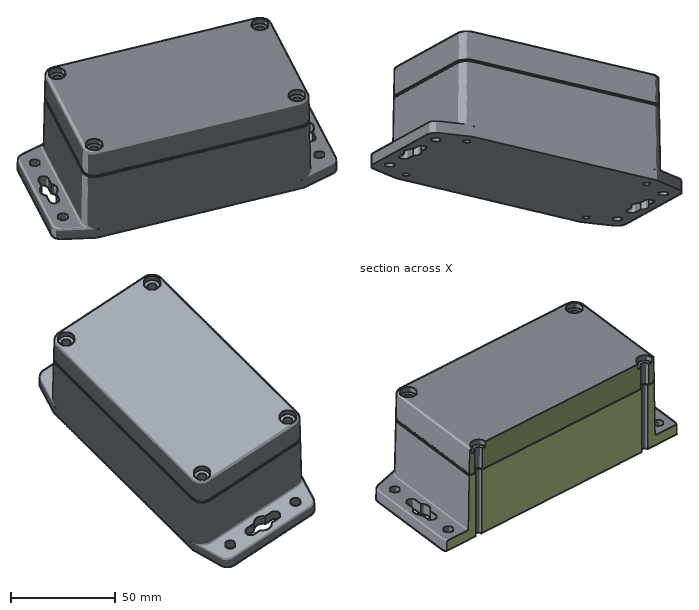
import cadquery as cq
import math

TOTAL_LENGTH = 145.0
BODY_WIDTH = 66.4
BODY_LENGTH = 116.6
TOTAL_HEIGHT = 55.0
CORNER_RADIUS = 6.7
DRAFT_ANGLE = 1.0
DRAFT = math.tan(math.radians(DRAFT_ANGLE))

PARTING_HEIGHT = 39.0
GROOVE_HEIGHT = 0.9
GROOVE_DEPTH = 0.6
LID_EDGE_RADIUS = 1.5

SCREW_X = BODY_WIDTH / 2 - CORNER_RADIUS
SCREW_Y = BODY_LENGTH / 2 - CORNER_RADIUS
SCREW_CLEARANCE_DIAMETER = 4.5
SCREW_PILOT_DIAMETER = 3.5
SCREW_HEAD_DIAMETER = 8.1
SCREW_HEAD_DEPTH = 3.2

FLANGE_HEIGHT = 6.4
FLANGE_END_WIDTH = 55.1
FLANGE_HIP_Y = 52.8
FLANGE_CORNER_RADIUS = 5.0
FLANGE_HIP_RADIUS = 3.3
FLANGE_EDGE_RADIUS = 1.0
FLANGE_ROOT_RADIUS = 0.9

MOUNT_Y = 65.2
MOUNT_HOLE_X = 20.2
MOUNT_HOLE_DIAMETER = 5.0
KEYHOLE_LENGTH = 20.0
KEYHOLE_CENTRE_DIAMETER = 8.5


def drafted_block(bottom, top, inset=0.0):
    """Slice of the drafted enclosure from height bottom to top, set in by inset all round."""
    shrink = inset + bottom * DRAFT
    outline = cq.Sketch().rect(BODY_WIDTH - 2 * shrink, BODY_LENGTH - 2 * shrink)
    outline = outline.vertices().fillet(CORNER_RADIUS - shrink)
    block = cq.Workplane("XY").workplane(offset=bottom).placeSketch(outline)
    return block.extrude(top - bottom, taper=DRAFT_ANGLE)


def screw_holes(diameter, bottom, top):
    """Four cylinders on the screw axes."""
    holes = cq.Workplane("XY").workplane(offset=bottom)
    holes = holes.rect(2 * SCREW_X, 2 * SCREW_Y, forConstruction=True).vertices()
    return holes.circle(diameter / 2).extrude(top - bottom)


def end_zones(inner_y, outer_y):
    """Selector for edges centred between two distances from the middle, at both ends of the body."""
    front = cq.selectors.BoxSelector((-BODY_WIDTH, -outer_y, 0), (BODY_WIDTH, -inner_y, TOTAL_HEIGHT))
    back = cq.selectors.BoxSelector((-BODY_WIDTH, inner_y, 0), (BODY_WIDTH, outer_y, TOTAL_HEIGHT))
    return front + back


def flange_plate():
    """Drafted plate that runs under the whole body and forms both flanges."""
    hip_x = BODY_WIDTH / 2
    end_x = FLANGE_END_WIDTH / 2
    end_y = TOTAL_LENGTH / 2
    corners = [
        (hip_x, -FLANGE_HIP_Y),
        (hip_x, FLANGE_HIP_Y),
        (end_x, end_y),
        (-end_x, end_y),
        (-hip_x, FLANGE_HIP_Y),
        (-hip_x, -FLANGE_HIP_Y),
        (-end_x, -end_y),
        (end_x, -end_y),
    ]
    plate = cq.Workplane("XY").polyline(corners).close().extrude(FLANGE_HEIGHT, taper=DRAFT_ANGLE)
    plate = plate.edges(end_zones(0, MOUNT_Y)).edges("not #Z").fillet(FLANGE_HIP_RADIUS)
    plate = plate.edges(end_zones(MOUNT_Y, end_y)).edges("not #Z").fillet(FLANGE_CORNER_RADIUS)
    return plate.faces(">Z").edges().fillet(FLANGE_EDGE_RADIUS)


def mounting_holes():
    """Two round holes and a double-ended keyhole through each flange."""
    rows = [(0, -MOUNT_Y), (0, MOUNT_Y)]
    plane = cq.Workplane("XY")
    holes = plane.rect(2 * MOUNT_HOLE_X, 2 * MOUNT_Y, forConstruction=True).vertices()
    holes = holes.circle(MOUNT_HOLE_DIAMETER / 2).extrude(FLANGE_HEIGHT)
    slots = plane.pushPoints(rows).slot2D(KEYHOLE_LENGTH, MOUNT_HOLE_DIAMETER).extrude(FLANGE_HEIGHT)
    centres = plane.pushPoints(rows).circle(KEYHOLE_CENTRE_DIAMETER / 2).extrude(FLANGE_HEIGHT)
    return holes.union(slots).union(centres)


def make_base():
    """Lower body with its flanges, mounting holes and screw pilot holes."""
    base = drafted_block(0, PARTING_HEIGHT).union(flange_plate())
    wall_y = BODY_LENGTH / 2 - FLANGE_HEIGHT * DRAFT
    for end in (-1, 1):
        root = base.edges(cq.NearestToPointSelector((0, end * wall_y, FLANGE_HEIGHT)))
        base = root.fillet(FLANGE_ROOT_RADIUS)
    base = base.cut(mounting_holes())
    return base.cut(screw_holes(SCREW_PILOT_DIAMETER, 0, PARTING_HEIGHT))


def make_lid():
    """Cover whose lower rim is set back to leave the shadow groove above the base."""
    rim_top = PARTING_HEIGHT + GROOVE_HEIGHT
    cover = drafted_block(rim_top, TOTAL_HEIGHT).faces(">Z").edges().fillet(LID_EDGE_RADIUS)
    lid = cover.union(drafted_block(PARTING_HEIGHT, rim_top, GROOVE_DEPTH))
    lid = lid.cut(screw_holes(SCREW_CLEARANCE_DIAMETER, PARTING_HEIGHT, TOTAL_HEIGHT))
    return lid.cut(screw_holes(SCREW_HEAD_DIAMETER, TOTAL_HEIGHT - SCREW_HEAD_DEPTH, TOTAL_HEIGHT))


base = make_base()
lid = make_lid()
result = cq.Compound.makeCompound([base.val(), lid.val()])